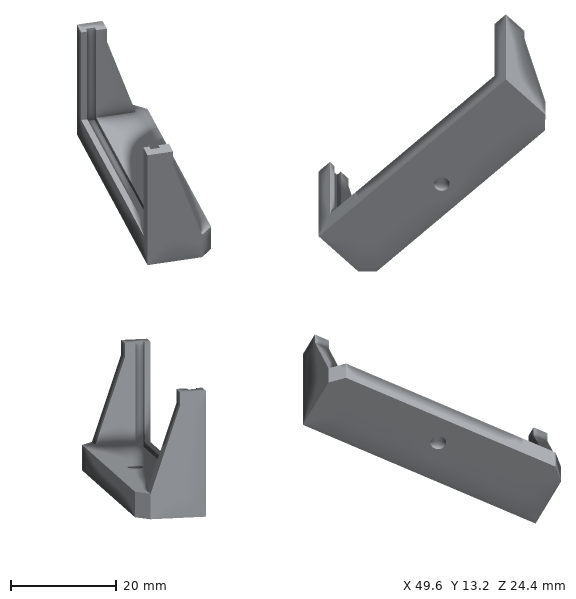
import cadquery as cq

length = 49.6
depth = 13.25
height = 24.45

base_height = 4.95
wall_thickness = 3.0
corner_chamfer = 2.5
wall_top_depth = 5.05
wall_top_straight = 2.8
wall_foot_depth = depth - corner_chamfer

groove_front = 1.2
groove_width = 1.8
groove_depth = 1.0

hole_diameter = 3.0
hole_y = 8.05


def make_base():
    """Flat bar with its two rear corners chamfered."""
    bar = cq.Workplane("XY").box(length, depth, base_height, centered=(True, False, False))
    return bar.edges("|Z and >Y").chamfer(corner_chamfer)


def make_wall(start_x):
    """End wall with a sloping rear edge, extruded along +X from start_x."""
    profile = [
        (0, 0),
        (wall_foot_depth, 0),
        (wall_foot_depth, base_height),
        (wall_top_depth, height - wall_top_straight),
        (wall_top_depth, height),
        (0, height),
    ]
    return (
        cq.Workplane("YZ", origin=(start_x, 0, 0))
        .polyline(profile)
        .close()
        .extrude(wall_thickness)
    )


def make_groove():
    """Panel-shaped cutter, open at the top of the walls."""
    groove_length = length - 2 * (wall_thickness - groove_depth)
    groove_bottom = base_height - groove_depth
    return (
        cq.Workplane("XY")
        .box(groove_length, groove_width, height - groove_bottom, centered=(True, False, False))
        .translate((0, groove_front, groove_bottom))
    )


def make_hole():
    """Cutter for the hole through the base."""
    return cq.Workplane("XY").center(0, hole_y).circle(hole_diameter / 2).extrude(base_height)


result = make_base()
for wall_start_x in (-length / 2, length / 2 - wall_thickness):
    result = result.union(make_wall(wall_start_x))
result = result.cut(make_groove()).cut(make_hole())